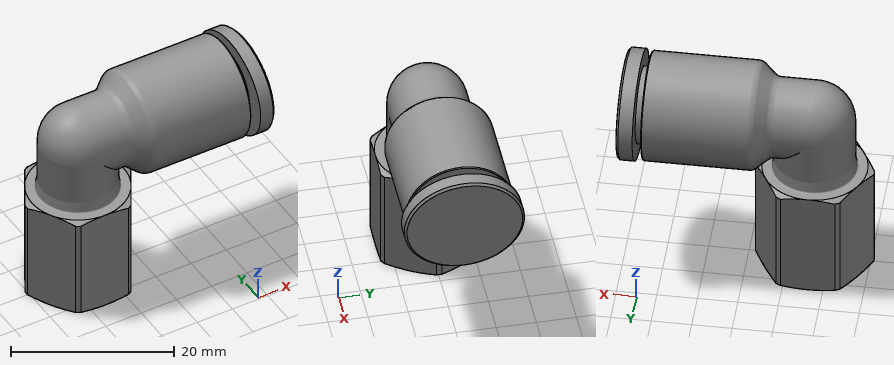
import cadquery as cq
import math


hex_sides = 6
hex_across_flats = 13.0
hex_corner_radius = 7.32
hex_top = -7.25
hex_bottom = -21.7
hex_chamfer_angle = 20

elbow_radius = 5.0
flare_top = -5.85
flare_base_radius = 5.25
flare_fillet = 0.2

body_radius = 6.8
body_end = 20.6
body_edge_chamfer = 0.12
shoulder_start = elbow_radius
shoulder_angle = 41
shoulder_fillet = 1.05

sleeve_radius = 4.8
collar_start = 21.55
collar_end = 23.58
collar_width = 15.0
collar_height = 13.07
collar_chamfer = 0.28


def make_hex_nut():
    """Hexagon with turned-off corners and a conical chamfer at both ends."""
    length = hex_top - hex_bottom
    flat_radius = hex_across_flats / 2
    across_corners = hex_across_flats / math.cos(math.radians(180 / hex_sides))
    base = cq.Workplane("XY", origin=(0, 0, hex_bottom))
    prism = base.polygon(hex_sides, across_corners).extrude(length)

    chamfer_width = hex_corner_radius - flat_radius
    chamfer_drop = chamfer_width * math.tan(math.radians(hex_chamfer_angle))
    chamfer_top = hex_top - chamfer_drop
    chamfer_bottom = hex_bottom + chamfer_drop
    turned_blank = (
        cq.Workplane("XZ")
        .moveTo(0, hex_bottom)
        .lineTo(flat_radius, hex_bottom)
        .lineTo(hex_corner_radius, chamfer_bottom)
        .lineTo(hex_corner_radius, chamfer_top)
        .lineTo(flat_radius, hex_top)
        .lineTo(0, hex_top)
        .close()
        .revolve(360, (0, 0, 0), (0, 1, 0))
    )
    return prism.intersect(turned_blank)


def make_elbow():
    """Vertical leg with a flared foot, capped by a ball; the foot rests on the hex."""
    leg = (
        cq.Workplane("XZ")
        .moveTo(0, hex_top)
        .lineTo(flare_base_radius, hex_top)
        .lineTo(elbow_radius, flare_top)
        .lineTo(elbow_radius, 0)
        .lineTo(0, 0)
        .close()
        .revolve(360, (0, 0, 0), (0, 1, 0))
    )
    return leg.union(cq.Workplane("XY").sphere(elbow_radius))


def make_socket():
    """Horizontal leg widening through a rounded shoulder into the socket body."""
    shoulder_rise = body_radius - elbow_radius
    shoulder_end = shoulder_start + shoulder_rise / math.tan(math.radians(shoulder_angle))
    turned = (
        cq.Workplane("XZ")
        .lineTo(0, elbow_radius)
        .lineTo(shoulder_start, elbow_radius)
        .lineTo(shoulder_end, body_radius)
        .lineTo(body_end, body_radius)
        .lineTo(body_end, 0)
        .close()
        .revolve(360, (0, 0, 0), (1, 0, 0))
    )
    for corner in (shoulder_start, shoulder_end):
        corner_edge = cq.selectors.NearestToPointSelector((corner, 0, 0))
        turned = turned.edges(corner_edge).fillet(shoulder_fillet)
    return turned.faces(">X").edges().chamfer(body_edge_chamfer)


def make_sleeve():
    """Round sleeve leaving the socket, ending in an oval collar."""
    sleeve = (
        cq.Workplane("YZ", origin=(body_end, 0, 0))
        .circle(sleeve_radius)
        .extrude(collar_start - body_end)
    )
    collar = (
        cq.Workplane("YZ", origin=(collar_start, 0, 0))
        .ellipse(collar_width / 2, collar_height / 2)
        .extrude(collar_end - collar_start)
        .faces(">X").edges()
        .chamfer(collar_chamfer)
    )
    return sleeve.union(collar)


def make_nut_and_elbow():
    """Elbow standing on the nut, with a small fillet around its foot."""
    joined = make_hex_nut().union(make_elbow())
    nut_top_face = cq.selectors.NearestToPointSelector((0, 0, hex_top))
    smallest_circle = cq.selectors.RadiusNthSelector(0)
    foot_edge = joined.faces(nut_top_face).edges("%CIRCLE").edges(smallest_circle)
    return foot_edge.fillet(flare_fillet)


result = make_nut_and_elbow().union(make_socket()).union(make_sleeve())